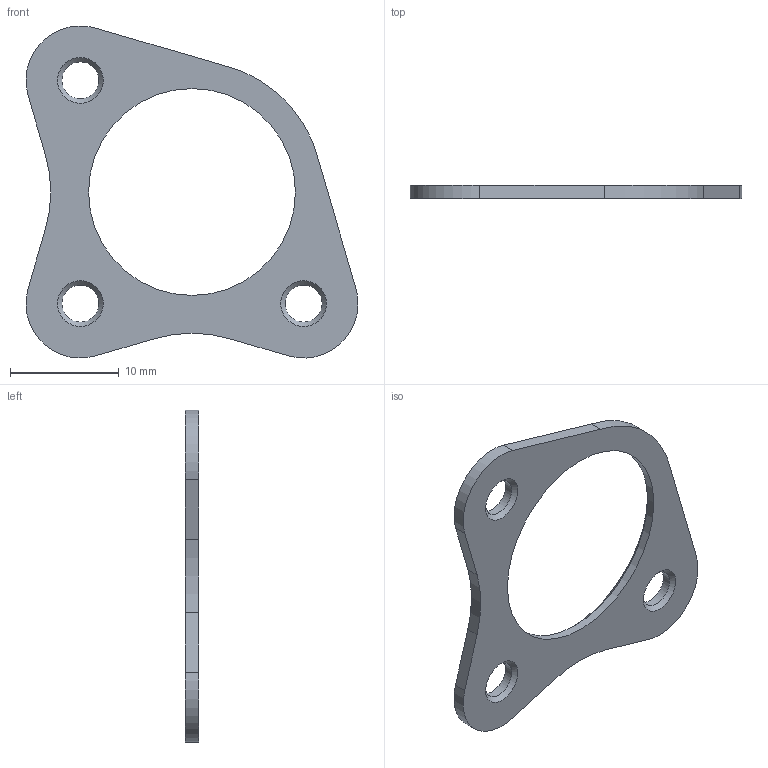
import cadquery as cq
import math

thickness = 1.2
front_y = -thickness / 2
back_y = thickness / 2

bore_center = (0, 0)
bore_diameter = 19.0
bore_chamfer = 0.4
screw_offset = 10.25
lobe_radius = 5.0
screw_diameter = 3.4
countersink_diameter = 4.2
countersink_angle = 90.0
screw_places = [
    (-screw_offset, screw_offset),
    (-screw_offset, -screw_offset),
    (screw_offset, -screw_offset),
]

corner_radius = 12.0
corner_end_angle = math.radians(77.4)
waist_radius = 12.0
waist_reach = 12.97


def polar(center, radius, angle):
    """Point at an angle on a circle in the plate plane."""
    return (center[0] + radius * math.cos(angle), center[1] + radius * math.sin(angle))


def flipped(point):
    """Point reflected across the X axis."""
    return (point[0], -point[1])


def mirrored(point):
    """Point reflected across the plate's diagonal line of symmetry, X = Z."""
    return (point[1], point[0])


def flank_angle(lobe_center, corner_start):
    """Direction of the lobe radius to where the line from the corner arc is tangent to the lobe."""
    run = corner_start[0] - lobe_center[0]
    rise = corner_start[1] - lobe_center[1]
    return math.atan2(rise, run) + math.acos(lobe_radius / math.hypot(run, rise))


def waist_angle():
    """Angle above the +X direction of the waist radius to where its upper flank touches."""
    run = waist_reach + waist_radius - screw_offset
    center_distance = math.hypot(run, screw_offset)
    return math.atan2(screw_offset, run) - math.acos((lobe_radius + waist_radius) / center_distance)


def make_plate():
    """Plate with three lobes, two hollow waists and one broad corner."""
    upper_lobe, inner_lobe, _ = screw_places
    waist = waist_angle()
    waist_center = (-waist_reach - waist_radius, 0)

    corner_start = polar(bore_center, corner_radius, corner_end_angle)
    flank = flank_angle(upper_lobe, corner_start)
    corner_middle = polar(bore_center, corner_radius, math.pi / 4)
    upper_start = polar(upper_lobe, lobe_radius, flank)
    upper_middle = polar(upper_lobe, lobe_radius, 3 * math.pi / 4)
    upper_end = polar(upper_lobe, lobe_radius, math.pi + waist)
    waist_top = polar(waist_center, waist_radius, waist)
    waist_middle = (-waist_reach, 0)
    waist_bottom = flipped(waist_top)
    inner_start = flipped(upper_end)
    inner_middle = polar(inner_lobe, lobe_radius, 5 * math.pi / 4)

    outline = (
        cq.Workplane("XZ", origin=(0, back_y, 0))
        .moveTo(*corner_start)
        .lineTo(*upper_start)
        .threePointArc(upper_middle, upper_end)
        .lineTo(*waist_top)
        .threePointArc(waist_middle, waist_bottom)
        .lineTo(*inner_start)
        .threePointArc(inner_middle, mirrored(inner_start))
        .lineTo(*mirrored(waist_bottom))
        .threePointArc(mirrored(waist_middle), mirrored(waist_top))
        .lineTo(*mirrored(upper_end))
        .threePointArc(mirrored(upper_middle), mirrored(upper_start))
        .lineTo(*mirrored(corner_start))
        .threePointArc(corner_middle, corner_start)
        .close()
    )
    return outline.extrude(thickness)


def cut_bore(plate):
    """Large through opening on the plate axis, chamfered on the +Y face."""
    bored = plate.faces("<Y").workplane(origin=(0, front_y, 0)).hole(bore_diameter)
    back_rim = bored.faces(">Y").wires(cq.selectors.LengthNthSelector(0)).edges()
    return back_rim.chamfer(bore_chamfer)


def cut_screw_holes(plate):
    """Through holes, countersunk on the -Y face."""
    return (
        plate.faces("<Y")
        .workplane(origin=(0, front_y, 0))
        .pushPoints(screw_places)
        .cskHole(screw_diameter, countersink_diameter, countersink_angle)
    )


result = cut_screw_holes(cut_bore(make_plate()))